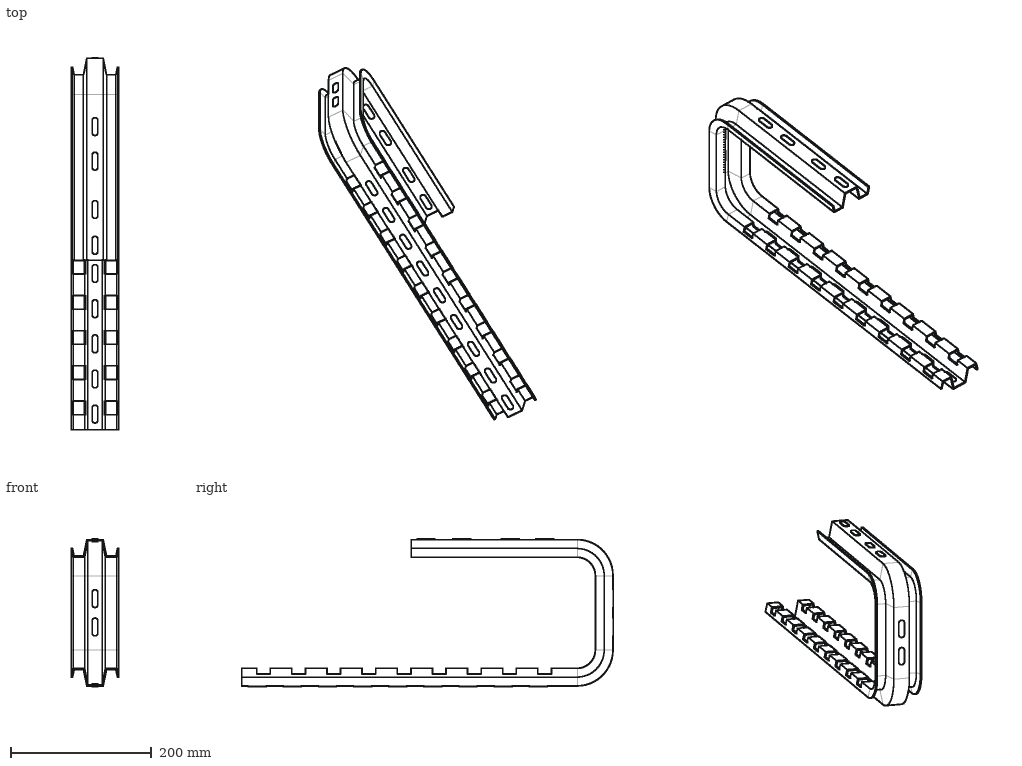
import cadquery as cq
import math

length = 528.0
body_height = 208.5
upper_arm_length = 287.0
bend_radius = 51.5

thickness = 2.0
depth = 25.5
web_half_width = 11.5
wall_foot_half_width = 16.5
lip_foot_half_width = 31.0
overall_width = 68.0
lip_height = 12.5

notch_count = 9
notch_span = 399.5
notch_length = 19.0
notch_depth = 8.0
first_notch = 31.0

plug_length = 25.5
plug_width = 8.5
plug_rise = 1.0
lower_plug_count = 9
first_lower_plug = 22.0
upper_plug_distances = (21.0, 72.0, 140.5, 190.0)
back_plug_rise = 0.5
back_plug_spacing = 40.0

upper_end = length - upper_arm_length
bend_start = length - bend_radius
pitch = notch_span / (notch_count - 1)


def shifted(start, end, distance):
    """Endpoints of a line moved sideways to its right by a distance."""
    dx = end[0] - start[0]
    dz = end[1] - start[1]
    run = math.hypot(dx, dz)
    offset_x = distance * dz / run
    offset_z = -distance * dx / run
    return (start[0] + offset_x, start[1] + offset_z), (end[0] + offset_x, end[1] + offset_z)


def x_at(line, z):
    """X where a sloping line reaches height z."""
    (x0, z0), (x1, z1) = line
    return x0 + (x1 - x0) * (z - z0) / (z1 - z0)


def channel_profile():
    """Closed section of the lower arm, with the web face on Z = 0 and the flanges at the top."""
    flange_under = depth - thickness
    lip_tip = depth - lip_height
    wall_out = ((web_half_width, 0), (wall_foot_half_width, flange_under))
    wall_in = shifted(*wall_out, -thickness)
    lip_out = ((overall_width / 2, lip_tip), (lip_foot_half_width, depth))
    lip_in = shifted(*lip_out, -thickness)
    half = [
        (x_at(wall_in, thickness), thickness),
        (x_at(wall_in, depth), depth),
        (lip_foot_half_width, depth),
        (overall_width / 2, lip_tip),
        (x_at(lip_in, lip_tip), lip_tip),
        (x_at(lip_in, flange_under), flange_under),
        (wall_foot_half_width, flange_under),
        (web_half_width, 0),
    ]
    mirrored = [(-x, z) for x, z in reversed(half)]
    return cq.Workplane("XZ").polyline(half + mirrored).close()


def channel():
    """The section swept along lower arm, bend, back, bend and upper arm."""
    diagonal = bend_radius * math.sqrt(0.5)
    lower_centre_z = bend_radius
    upper_centre_z = body_height - bend_radius
    path = (
        cq.Workplane("YZ")
        .moveTo(0, 0)
        .lineTo(bend_start, 0)
        .threePointArc((bend_start + diagonal, lower_centre_z - diagonal), (length, lower_centre_z))
        .lineTo(length, upper_centre_z)
        .threePointArc((bend_start + diagonal, upper_centre_z + diagonal), (bend_start, body_height))
        .lineTo(upper_end, body_height)
    )
    return channel_profile().sweep(path)


def notches():
    centres = [(0, first_notch + i * pitch) for i in range(notch_count)]
    return (
        cq.Workplane("XY", origin=(0, 0, depth - notch_depth))
        .pushPoints(centres)
        .rect(overall_width, notch_length)
        .extrude(notch_depth)
    )


def plugs(web_plane, centres, outer_rise):
    """Plugs on a web whose outer face is the plane and whose inside is along the plane's normal."""
    return (
        cq.Workplane(web_plane)
        .workplane(offset=-outer_rise)
        .pushPoints(centres)
        .slot2D(plug_length, plug_width, 90)
        .extrude(outer_rise + thickness + plug_rise)
    )


lower_web = cq.Plane(origin=(0, 0, 0), xDir=(1, 0, 0), normal=(0, 0, 1))
upper_web = cq.Plane(origin=(0, upper_end, body_height), xDir=(-1, 0, 0), normal=(0, 0, -1))
back_web = cq.Plane(origin=(0, length, body_height / 2), xDir=(1, 0, 0), normal=(0, -1, 0))

lower_centres = [(0, first_lower_plug + i * pitch) for i in range(lower_plug_count)]
upper_centres = [(0, distance) for distance in upper_plug_distances]
back_centres = [(0, side * back_plug_spacing / 2) for side in (-1, 1)]

result = (
    channel()
    .cut(notches())
    .union(plugs(lower_web, lower_centres, plug_rise))
    .union(plugs(upper_web, upper_centres, plug_rise))
    .union(plugs(back_web, back_centres, back_plug_rise))
)